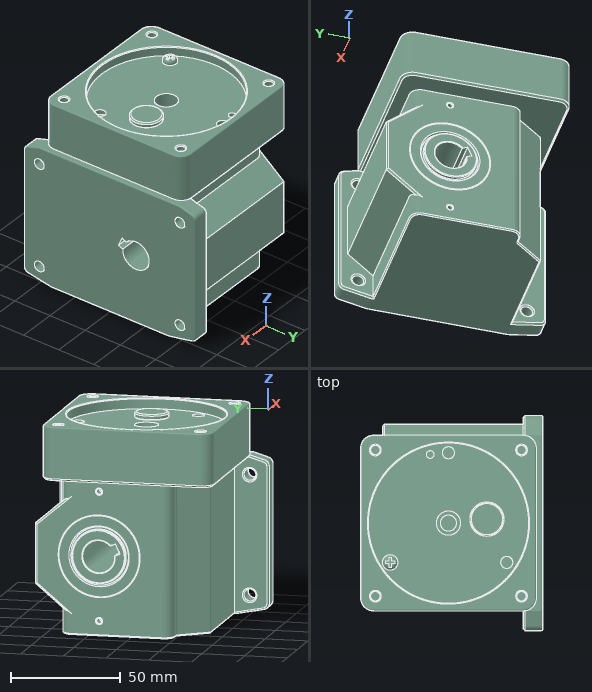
import cadquery as cq
import math

INTO_TOP = (0, 0, -1)
INTO_FRONT = (1, 0, 0)

PLATE_SIZE = 80.0
PLATE_TOP = 98.0
PLATE_BOTTOM = 73.0
PLATE_CORNER_RADIUS = 6.0
PLATE_TOP_FILLET = 0.7
PLATE_BOTTOM_CHAMFER = 1.0
CORNER_HOLE_PITCH = 66.5
CORNER_HOLE_DIAMETER = 4.3
CORNER_HOLE_RIM_DIAMETER = 5.3
CORNER_HOLE_DEPTH = 15.0

POCKET_DIAMETER = 73.0
POCKET_RIM_DIAMETER = 73.8
POCKET_DEPTH = 5.0
POCKET_FLOOR = PLATE_TOP - POCKET_DEPTH
SHAFT_HOLE_DIAMETER = 11.0
SHAFT_HOLE_DEPTH = 15.0
SHAFT_TIP_DIAMETER = 7.3
SHAFT_TIP_DEPTH = 5.0
FLOOR_HOLE_CIRCLE_RADIUS = 32.0
FLOOR_HOLE_ANGLES = (90.0, -34.0)
FLOOR_HOLE_DIAMETER = 5.5
FLOOR_HOLE_DEPTH = 2.5
PIN_HOLE_CENTER = (-8.3, 31.2)
PIN_HOLE_DIAMETER = 3.5
CAP_CENTER = (17.5, 1.8)
CAP_DIAMETER = 15.6
CAP_HEIGHT = 2.6
CAP_TOP_CHAMFER = 0.7
CAP_BOTTOM_CHAMFER = 0.3
SCREW_ANGLE = 214.0
SCREW_HEAD_DIAMETER = 7.0
SCREW_HEAD_HEIGHT = 2.4
SCREW_HEAD_FILLET = 1.8
SCREW_CROSS_LENGTH = 4.4
SCREW_CROSS_WIDTH = 1.2
SCREW_CROSS_DEPTH = 1.5

FLANGE_BACK = 43.0
FLANGE_FRONT = 34.0
FLANGE_WIDTH = 98.0
FLANGE_TOP = 74.0
FLANGE_TOP_FLAT = 80.0
FLANGE_BOTTOM_FLAT = 67.0
FLANGE_TOP_CORNER = 71.3
FLANGE_BOTTOM_CORNER = 3.0
FLANGE_CORNER_RADIUS = 3.0
FLANGE_EDGE_CHAMFER = 0.9
FLANGE_BACK_FILLET = 0.9
FLANGE_HOLE_PITCH_Y = 80.0
FLANGE_HOLE_PITCH_Z = 56.0
FLANGE_HOLE_DIAMETER = 5.5
FLANGE_HOLE_RIM_DIAMETER = 6.8

BODY_FRONT = -30.0
BODY_HALF_WIDTH = 33.0
BODY_CORNER_RADIUS = 5.0
BODY_BOTTOM_CHAMFER = 0.6
STEP_Y = -19.4
STEP_END = -22.3
SLOPE_END = -12.0
SLOPE_FILLET_RADIUS = 1.0

AXIS_Y = 15.0
AXIS_Z = 37.0
BULGE_Y = 45.0
BULGE_FLAT_HALF_HEIGHT = 14.0
BULGE_SLOPE = math.radians(40.0)
BULGE_CHAMFER = 0.9
SEAL_DIAMETER = 38.0
SEAL_LINE_WIDTH = 0.3
SEAL_LINE_DEPTH = 0.3
RECESS_OUTER_DIAMETER = 28.2
RECESS_INNER_DIAMETER = 27.0
RECESS_DEPTH = 1.0
HUB_DIAMETER = 25.0
HUB_FRONT = BODY_FRONT - 1.0
HUB_CHAMFER = 0.4
BORE_DIAMETER = 15.0
BORE_RIM_DIAMETER = 15.6
KEYWAY_WIDTH = 5.0
KEYWAY_REACH = 9.8
KEYWAY_ANGLE = 24.0
TAPPED_HOLE_OFFSET = 30.0
TAPPED_HOLE_DIAMETER = 2.5
TAPPED_HOLE_RIM_DIAMETER = 3.3
TAPPED_HOLE_DEPTH = 6.0


def polar(radius, degrees):
    angle = math.radians(degrees)
    return radius * math.cos(angle), radius * math.sin(angle)


def cylinder_z(center, diameter, bottom, top):
    disc = cq.Workplane("XY", origin=(*center, bottom)).circle(diameter / 2)
    return disc.extrude(top - bottom)


def cylinder_x(y, z, diameter, start, end):
    disc = cq.Workplane("YZ", origin=(start, y, z)).circle(diameter / 2)
    return disc.extrude(end - start)


def cone(direction, base_center, base_diameter, end_diameter, height):
    base = cq.Vector(*base_center)
    axis = cq.Vector(*direction)
    return cq.Workplane(cq.Solid.makeCone(base_diameter / 2, end_diameter / 2, height, base, axis))


def countersink(direction, rim_center, rim_diameter, hole_diameter):
    depth = (rim_diameter - hole_diameter) / 2
    return cone(direction, rim_center, rim_diameter, hole_diameter, depth)


def make_plate():
    block = cq.Workplane("XY", origin=(0, 0, PLATE_BOTTOM)).rect(PLATE_SIZE, PLATE_SIZE)
    block = block.extrude(PLATE_TOP - PLATE_BOTTOM).edges("|Z").fillet(PLATE_CORNER_RADIUS)
    block = block.faces(">Z").edges().fillet(PLATE_TOP_FILLET)
    return block.faces("<Z").chamfer(PLATE_BOTTOM_CHAMFER)


def make_flange():
    half = FLANGE_WIDTH / 2
    outline = [
        (-FLANGE_BOTTOM_FLAT / 2, 0),
        (FLANGE_BOTTOM_FLAT / 2, 0),
        (half, FLANGE_BOTTOM_CORNER),
        (half, FLANGE_TOP_CORNER),
        (FLANGE_TOP_FLAT / 2, FLANGE_TOP),
        (-FLANGE_TOP_FLAT / 2, FLANGE_TOP),
        (-half, FLANGE_TOP_CORNER),
        (-half, FLANGE_BOTTOM_CORNER),
    ]
    flange = cq.Workplane("YZ", origin=(FLANGE_FRONT, 0, 0)).polyline(outline).close()
    flange = flange.extrude(FLANGE_BACK - FLANGE_FRONT)
    flange = flange.faces(">Y or <Y").edges("|X").fillet(FLANGE_CORNER_RADIUS)
    flange = flange.faces("<X").chamfer(FLANGE_EDGE_CHAMFER)
    return flange.faces(">X").edges().fillet(FLANGE_BACK_FILLET)


def make_body():
    diagonal = BODY_CORNER_RADIUS * (1 - math.sqrt(0.5))
    body = (
        cq.Workplane("XY")
        .moveTo(FLANGE_FRONT + FLANGE_EDGE_CHAMFER, BODY_HALF_WIDTH)
        .lineTo(BODY_FRONT + BODY_CORNER_RADIUS, BODY_HALF_WIDTH)
        .threePointArc(
            (BODY_FRONT + diagonal, BODY_HALF_WIDTH - diagonal),
            (BODY_FRONT, BODY_HALF_WIDTH - BODY_CORNER_RADIUS),
        )
        .lineTo(BODY_FRONT, STEP_Y + BODY_CORNER_RADIUS)
        .threePointArc(
            (BODY_FRONT + diagonal, STEP_Y + diagonal),
            (BODY_FRONT + BODY_CORNER_RADIUS, STEP_Y),
        )
        .lineTo(STEP_END, STEP_Y)
        .lineTo(SLOPE_END, -BODY_HALF_WIDTH)
        .lineTo(FLANGE_FRONT + FLANGE_EDGE_CHAMFER, -BODY_HALF_WIDTH)
        .close()
        .extrude(PLATE_BOTTOM)
    )
    for x, y in ((STEP_END, STEP_Y), (SLOPE_END, -BODY_HALF_WIDTH)):
        edge = cq.selectors.NearestToPointSelector((x, y, PLATE_BOTTOM / 2))
        body = body.edges("|Z").edges(edge).fillet(SLOPE_FILLET_RADIUS)
    return body.faces("<Z").edges("not >X").chamfer(BODY_BOTTOM_CHAMFER)


def make_bulge():
    root_y = BODY_HALF_WIDTH - BODY_CORNER_RADIUS
    root_half_height = BULGE_FLAT_HALF_HEIGHT + (BULGE_Y - root_y) * math.tan(BULGE_SLOPE)
    outline = [
        (root_y, AXIS_Z - root_half_height),
        (BULGE_Y, AXIS_Z - BULGE_FLAT_HALF_HEIGHT),
        (BULGE_Y, AXIS_Z + BULGE_FLAT_HALF_HEIGHT),
        (root_y, AXIS_Z + root_half_height),
    ]
    bulge = cq.Workplane("YZ", origin=(BODY_FRONT, 0, 0)).polyline(outline).close()
    bulge = bulge.extrude(FLANGE_FRONT + FLANGE_EDGE_CHAMFER - BODY_FRONT)
    return bulge.faces("<X").edges("not <Y").chamfer(BULGE_CHAMFER)


def cut_corner_holes(part):
    reach = CORNER_HOLE_PITCH / 2
    for x in (-reach, reach):
        for y in (-reach, reach):
            part = part.cut(
                cylinder_z((x, y), CORNER_HOLE_DIAMETER, PLATE_TOP - CORNER_HOLE_DEPTH, PLATE_TOP)
            )
            part = part.cut(
                countersink(INTO_TOP, (x, y, PLATE_TOP), CORNER_HOLE_RIM_DIAMETER, CORNER_HOLE_DIAMETER)
            )
    return part


def cut_pocket(part):
    pocket = cylinder_z((0, 0), POCKET_DIAMETER, POCKET_FLOOR, PLATE_TOP)
    part = part.cut(pocket)
    part = part.cut(countersink(INTO_TOP, (0, 0, PLATE_TOP), POCKET_RIM_DIAMETER, POCKET_DIAMETER))

    hole_bottom = POCKET_FLOOR - FLOOR_HOLE_DEPTH
    for angle in FLOOR_HOLE_ANGLES:
        center = polar(FLOOR_HOLE_CIRCLE_RADIUS, angle)
        part = part.cut(cylinder_z(center, FLOOR_HOLE_DIAMETER, hole_bottom, POCKET_FLOOR))
    part = part.cut(cylinder_z(PIN_HOLE_CENTER, PIN_HOLE_DIAMETER, hole_bottom, POCKET_FLOOR))

    shaft_bottom = POCKET_FLOOR - SHAFT_HOLE_DEPTH
    part = part.cut(cylinder_z((0, 0), SHAFT_HOLE_DIAMETER, shaft_bottom, POCKET_FLOOR))
    tip_bottom = shaft_bottom - SHAFT_TIP_DEPTH
    return part.cut(cylinder_z((0, 0), SHAFT_TIP_DIAMETER, tip_bottom, shaft_bottom))


def add_cap(part):
    cap = cylinder_z(CAP_CENTER, CAP_DIAMETER, POCKET_FLOOR, POCKET_FLOOR + CAP_HEIGHT)
    cap = cap.faces(">Z").chamfer(CAP_TOP_CHAMFER)
    return part.union(cap.faces("<Z").chamfer(CAP_BOTTOM_CHAMFER))


def add_screw(part):
    center = polar(FLOOR_HOLE_CIRCLE_RADIUS, SCREW_ANGLE)
    top = POCKET_FLOOR + SCREW_HEAD_HEIGHT
    head = cylinder_z(center, SCREW_HEAD_DIAMETER, POCKET_FLOOR, top)
    head = head.faces(">Z").edges().fillet(SCREW_HEAD_FILLET)
    cross_plane = cq.Workplane("XY", origin=(*center, top - SCREW_CROSS_DEPTH))
    for length, width in (
        (SCREW_CROSS_LENGTH, SCREW_CROSS_WIDTH),
        (SCREW_CROSS_WIDTH, SCREW_CROSS_LENGTH),
    ):
        head = head.cut(cross_plane.rect(length, width).extrude(SCREW_CROSS_DEPTH))
    return part.union(head)


def cut_flange_holes(part):
    for y in (-FLANGE_HOLE_PITCH_Y / 2, FLANGE_HOLE_PITCH_Y / 2):
        for z in (AXIS_Z - FLANGE_HOLE_PITCH_Z / 2, AXIS_Z + FLANGE_HOLE_PITCH_Z / 2):
            part = part.cut(cylinder_x(y, z, FLANGE_HOLE_DIAMETER, FLANGE_FRONT, FLANGE_BACK))
            part = part.cut(
                countersink(
                    INTO_FRONT, (FLANGE_FRONT, y, z), FLANGE_HOLE_RIM_DIAMETER, FLANGE_HOLE_DIAMETER
                )
            )
    return part


def add_output_shaft(part):
    part = part.cut(make_seal_line())
    recess = cone(
        INTO_FRONT, (BODY_FRONT, AXIS_Y, AXIS_Z), RECESS_OUTER_DIAMETER, RECESS_INNER_DIAMETER, RECESS_DEPTH
    )
    part = part.cut(recess)
    hub = cylinder_x(AXIS_Y, AXIS_Z, HUB_DIAMETER, HUB_FRONT, BODY_FRONT + RECESS_DEPTH)
    part = part.union(hub.faces("<X").chamfer(HUB_CHAMFER))
    part = part.cut(make_keyed_bore())
    return part.cut(countersink(INTO_FRONT, (HUB_FRONT, AXIS_Y, AXIS_Z), BORE_RIM_DIAMETER, BORE_DIAMETER))


def make_seal_line():
    line = cq.Workplane("YZ", origin=(BODY_FRONT, AXIS_Y, AXIS_Z))
    line = line.circle((SEAL_DIAMETER + SEAL_LINE_WIDTH) / 2).circle((SEAL_DIAMETER - SEAL_LINE_WIDTH) / 2)
    return line.extrude(SEAL_LINE_DEPTH)


def make_keyed_bore():
    bore = cylinder_x(AXIS_Y, AXIS_Z, BORE_DIAMETER, HUB_FRONT, FLANGE_BACK)
    keyway = cq.Workplane("YZ", origin=(HUB_FRONT, AXIS_Y, AXIS_Z)).center(-KEYWAY_REACH / 2, 0)
    keyway = keyway.rect(KEYWAY_REACH, KEYWAY_WIDTH).extrude(FLANGE_BACK - HUB_FRONT)
    keyway = keyway.rotate((0, AXIS_Y, AXIS_Z), (1, AXIS_Y, AXIS_Z), -KEYWAY_ANGLE)
    return bore.union(keyway)


def cut_tapped_holes(part):
    for z in (AXIS_Z - TAPPED_HOLE_OFFSET, AXIS_Z + TAPPED_HOLE_OFFSET):
        part = part.cut(
            cylinder_x(AXIS_Y, z, TAPPED_HOLE_DIAMETER, BODY_FRONT, BODY_FRONT + TAPPED_HOLE_DEPTH)
        )
        part = part.cut(
            countersink(
                INTO_FRONT, (BODY_FRONT, AXIS_Y, z), TAPPED_HOLE_RIM_DIAMETER, TAPPED_HOLE_DIAMETER
            )
        )
    return part


result = make_body().union(make_bulge()).union(make_flange()).union(make_plate())
result = cut_corner_holes(result)
result = cut_pocket(result)
result = add_cap(result)
result = add_screw(result)
result = cut_flange_holes(result)
result = add_output_shaft(result)
result = cut_tapped_holes(result)